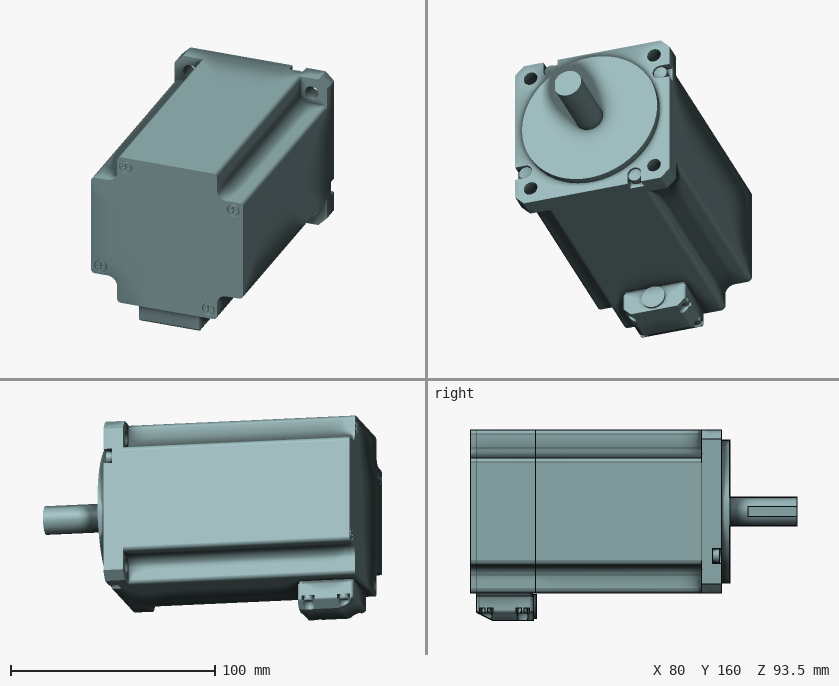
import cadquery as cq
import math

total_length = 160.0
frame = 80.0
half_frame = frame / 2

cover_length = 2.9
encoder_length = 29.0
shaft_length = 33.0
pilot_length = 4.0
flange_length = 9.8
cover_front = cover_length
encoder_front = cover_front + encoder_length
pilot_front = total_length - shaft_length
flange_front = pilot_front - pilot_length
flange_rear = flange_front - flange_length
stator_length = flange_rear - encoder_front

notch = 13.8
notch_inner_radius = 5.0
notch_outer_radius = 2.0

flange_chamfer = 4.5
mount_hole_diameter = 7.0
mount_hole_offset = 32.0
pilot_diameter = 70.0
shaft_diameter = 14.0
shaft_flat_depth = 0.5
shaft_flat_length = 24.0

screw_offset_along = 21.8
screw_offset_out = 34.9
quarter_turn = 90
front_head_diameter = 6.5
front_recess_width = 7.2
front_recess_depth = 4.5
front_head_sink = 1.0
rear_recess_diameter = 6.5
rear_head_diameter = 5.5
rear_groove_depth = 1.0
cross_length = 3.7
cross_width = 0.8
cross_depth = 1.0

connector_width = 32.5
connector_rear = cover_front
connector_front = 30.9
connector_top = -41.5
connector_bottom = -53.5
connector_edge_radius = 1.3
pad_inset = 0.5
bevel_height = 4.2
rear_bevel_length = 8.2
edge_tolerance = 0.2
cap_diameter = 11.8
cap_thickness = 1.5
cap_center_z = -46.5
clamp_screw_x = 14.0
clamp_screw_places_y = (7.8, 25.6)
clamp_head_diameter = 4.5
clamp_bore_diameter = 5.5
clamp_recess_width = 6.5
clamp_recess_top = -47.4
clamp_recess_bottom = -49.6


def cylinder(diameter, length, x, y, z):
    """Cylinder along +Y whose rear end is centred on (x, y, z)."""
    circle = cq.Workplane("XZ", origin=(x, y, z)).circle(diameter / 2)
    return circle.extrude(-length)


def box_between(corner, opposite):
    """Box that spans two opposite corners."""
    size = [b - a for a, b in zip(corner, opposite)]
    return cq.Workplane("XY").box(*size, centered=False).translate(corner)


def around_axis(shape):
    """The shape and its three quarter-turn copies about the motor axis."""
    return [shape.rotate((0, 0, 0), (0, 1, 0), quarter_turn * i) for i in range(4)]


def is_on_frame_side(edge):
    """True for an edge that lies on one of the four outer sides of the frame."""
    center = edge.Center()
    return math.isclose(max(abs(center.x), abs(center.z)), half_frame, abs_tol=0.002)


def notched_block(rear, length):
    """Square block along the axis with four rounded corner notches."""
    block = cq.Workplane("XY").box(frame, length, frame)
    corner = cq.Workplane("XY").box(2 * notch, length, 2 * notch).edges("|Y").fillet(notch_inner_radius)
    for x in (-half_frame, half_frame):
        for z in (-half_frame, half_frame):
            block = block.cut(corner.translate((x, 0, z)))
    outer_edges = block.edges("|Y").filter(is_on_frame_side)
    block = outer_edges.fillet(notch_outer_radius)
    return block.translate((0, rear + length / 2, 0))


def make_flange():
    """Square flange with cut corners, mounting holes and open recesses holding screw heads."""
    flange = cq.Workplane("XY").box(frame, flange_length, frame).edges("|Y").chamfer(flange_chamfer)
    flange = flange.translate((0, flange_rear + flange_length / 2, 0))
    for x in (-mount_hole_offset, mount_hole_offset):
        for z in (-mount_hole_offset, mount_hole_offset):
            flange = flange.cut(cylinder(mount_hole_diameter, flange_length, x, flange_rear, z))

    x, z = screw_offset_along, screw_offset_out
    recess_floor = flange_front - front_recess_depth
    half_width = front_recess_width / 2
    recess = cylinder(front_recess_width, front_recess_depth, x, recess_floor, z)
    recess = recess.union(box_between(
        (x - half_width, recess_floor, z),
        (x + half_width, flange_front, half_frame),
    ))
    head_height = front_recess_depth - front_head_sink
    head = cylinder(front_head_diameter, head_height, x, recess_floor, z)
    for pocket in around_axis(recess.cut(head)):
        flange = flange.cut(pocket)
    return flange


def make_shaft():
    """Output shaft with a flat on its +X side at the tip."""
    shaft = cylinder(shaft_diameter, shaft_length, 0, pilot_front, 0)
    radius = shaft_diameter / 2
    flat = box_between(
        (radius - shaft_flat_depth, total_length - shaft_flat_length, -radius),
        (radius, total_length, radius),
    )
    return shaft.cut(flat)


def make_motor():
    """Stator, flange, pilot and shaft as one solid that keeps the seam between stator and flange."""
    motor = notched_block(encoder_front, stator_length).union(make_flange(), clean=False)
    motor = motor.union(cylinder(pilot_diameter, pilot_length, 0, flange_front, 0), clean=False)
    return motor.union(make_shaft(), clean=False)


def make_rear_screw_cuts():
    """Ring groove around a screw head and the cross slot in the head."""
    x, z = -screw_offset_along, screw_offset_out
    groove = cylinder(rear_recess_diameter, rear_groove_depth, x, 0, z)
    groove = groove.cut(cylinder(rear_head_diameter, rear_groove_depth, x, 0, z))
    bar = cq.Workplane("XY").box(cross_length, cross_depth, cross_width)
    cross = bar.union(bar.rotate((0, 0, 0), (0, 1, 0), quarter_turn))
    return groove, cross.translate((x, cross_depth / 2, z))


def make_connector_pad():
    """Low pad under the encoder housing that carries the connector."""
    half_width = connector_width / 2 - pad_inset
    pad = box_between(
        (-half_width, connector_rear, connector_top),
        (half_width, connector_front - pad_inset, -half_frame),
    )
    return pad.edges("|Z").fillet(connector_edge_radius)


def make_encoder():
    """Encoder housing, rear cover and connector pad as one solid that keeps the seams between them."""
    cover = notched_block(0, cover_length)
    for cut in make_rear_screw_cuts():
        for copy in around_axis(cut):
            cover = cover.cut(copy)
    encoder = notched_block(cover_front, encoder_length).union(cover, clean=False)
    return encoder.union(make_connector_pad(), clean=False)


def make_clamp_pocket(side, y):
    """Side recess around a clamp screw head, and the bore that runs down from it."""
    x = side * clamp_screw_x
    recess_height = clamp_recess_top - clamp_recess_bottom
    half_width = clamp_recess_width / 2
    seat = cq.Workplane("XY", origin=(x, y, clamp_recess_bottom))
    recess = seat.circle(half_width).extrude(recess_height)
    outward = cq.Workplane("XY").box(half_width, clamp_recess_width, recess_height)
    recess = recess.union(outward.translate(
        (x + side * half_width / 2, y, (clamp_recess_top + clamp_recess_bottom) / 2)
    ))
    head = seat.circle(clamp_head_diameter / 2).extrude(recess_height)
    bore = seat.circle(clamp_bore_diameter / 2).extrude(connector_bottom - clamp_recess_bottom)
    return recess.cut(head), bore


def make_connector():
    """Connector block with bevelled lower sides and a round cap in front."""
    half_width = connector_width / 2
    bevel_top = connector_bottom + bevel_height
    block = box_between(
        (-half_width, connector_rear, connector_bottom),
        (half_width, connector_front, connector_top),
    )
    block = block.faces("<Z").edges("|Y").chamfer(bevel_height)
    rear_bevel = (
        cq.Workplane("YZ", origin=(-half_width, 0, 0))
        .moveTo(connector_rear, bevel_top)
        .lineTo(connector_rear + rear_bevel_length, connector_bottom)
        .lineTo(connector_rear, connector_bottom)
        .close()
        .extrude(connector_width)
    )
    block = block.cut(rear_bevel)
    bevel_edges = cq.selectors.BoxSelector(
        (-frame, connector_rear - edge_tolerance, bevel_top - edge_tolerance),
        (frame, connector_front - edge_tolerance, bevel_top + edge_tolerance),
    )
    upright_edges = block.edges("|Z")
    block = upright_edges.add(block.edges(bevel_edges)).fillet(connector_edge_radius)

    cap = cylinder(cap_diameter, cap_thickness, 0, connector_front, cap_center_z)
    connector = block.union(cap)
    for side in (-1, 1):
        for y in clamp_screw_places_y:
            for cut in make_clamp_pocket(side, y):
                connector = connector.cut(cut)
    return connector


motor = make_motor()
encoder = make_encoder()
connector = make_connector()
result = cq.Compound.makeCompound([motor.val(), encoder.val(), connector.val()])